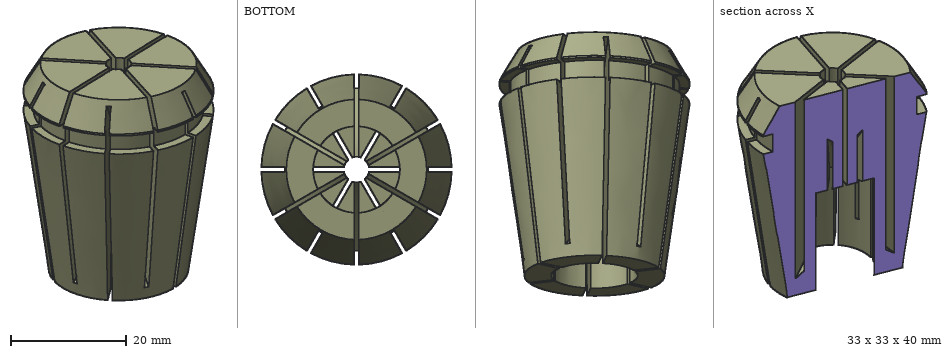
import cadquery as cq
import math

length = 40.0
outer_radius = 16.5
clamp_bore_radius = 2.2
back_bore_radius = 7.5
back_bore_depth = length / 2

seat_half_angle = math.radians(8)
nose_half_angle = math.radians(30)
seat_top = 30.95
groove_radius = 14.75
collar_bottom = 34.5
collar_top = 34.85

slot_width = 0.8
slots_per_set = 6
slot_pitch = 360.0 / slots_per_set
saw_radius = 32.0
front_slot_end = 2.3
front_slot_inner_height = 17.9
back_slot_inner_radius = 0.8
back_slot_end = length - 1.0
cut_margin = 1.0


def seat_radius(height):
    """Radius of the long seating taper at a height."""
    return outer_radius - (seat_top - height) * math.tan(seat_half_angle)


def nose_radius(height):
    """Radius of the short nose taper at a height."""
    return outer_radius - (height - collar_top) * math.tan(nose_half_angle)


def make_body():
    """Solid of revolution: seating taper, groove, collar and nose taper."""
    return (
        cq.Workplane("XZ")
        .lineTo(seat_radius(0), 0)
        .lineTo(outer_radius, seat_top)
        .lineTo(groove_radius, seat_top)
        .lineTo(groove_radius, collar_bottom)
        .lineTo(outer_radius, collar_bottom)
        .lineTo(outer_radius, collar_top)
        .lineTo(nose_radius(length), length)
        .lineTo(0, length)
        .close()
        .revolve(360, (0, 0, 0), (0, 1, 0))
    )


def make_bores():
    """Through clamping bore and the wider relief bore from the small end."""
    clamp_bore = cq.Workplane("XY").circle(clamp_bore_radius).extrude(length)
    back_bore = cq.Workplane("XY").circle(back_bore_radius).extrude(back_bore_depth)
    return clamp_bore.union(back_bore)


def make_slot(open_height, inner_point, end_point, arc_radius):
    """One slot along +X, open at one end face and closed by a saw-shaped arc.

    Points are (radius, height). The arc runs from the inner point, inside the bore, to the end
    point on the outer surface; the sign of its radius picks the side it bulges to.
    """
    inner_radius, inner_height = inner_point
    end_height = end_point[1]
    outside = outer_radius + cut_margin
    return (
        cq.Workplane("XZ")
        .moveTo(inner_radius, open_height)
        .lineTo(inner_radius, inner_height)
        .radiusArc(end_point, arc_radius)
        .lineTo(outside, end_height)
        .lineTo(outside, open_height)
        .close()
        .extrude(slot_width / 2, both=True)
    )


def cut_slot_set(body, slot, first_angle):
    """Cut a slot repeated evenly around the axis."""
    for index in range(slots_per_set):
        angle = first_angle + index * slot_pitch
        body = body.cut(slot.rotate((0, 0, 0), (0, 0, 1), angle))
    return body


front_slot = make_slot(
    length + cut_margin,
    (0, front_slot_inner_height),
    (seat_radius(front_slot_end), front_slot_end),
    -saw_radius,
)

back_slot_end_radius = nose_radius(back_slot_end)
saw_center_radius = back_slot_inner_radius + saw_radius
back_arc_rise = math.sqrt(saw_radius**2 - (saw_center_radius - back_slot_end_radius) ** 2)
back_slot = make_slot(
    -cut_margin,
    (back_slot_inner_radius, back_slot_end - back_arc_rise),
    (back_slot_end_radius, back_slot_end),
    saw_radius,
)

result = make_body().cut(make_bores())
result = cut_slot_set(result, front_slot, 0)
result = cut_slot_set(result, back_slot, slot_pitch / 2)